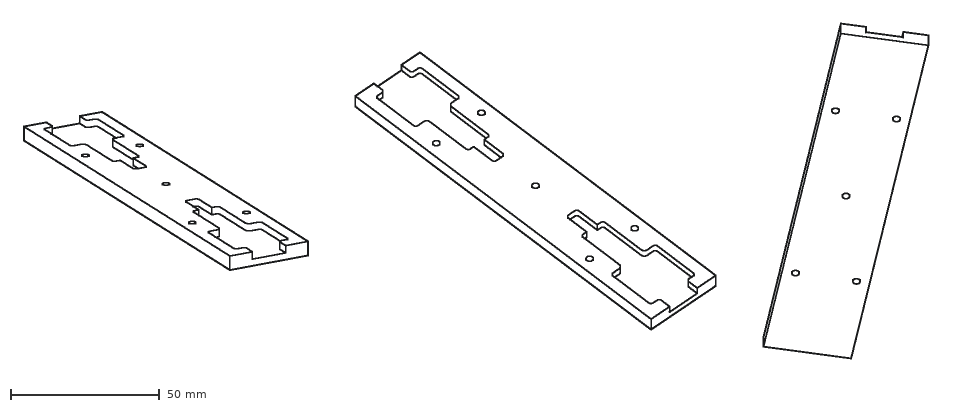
import cadquery as cq

length = 144.6
width = 30.0
thickness = 5.0

pocket_depth = 2.6
tongue_end = 17.6
neck_end = 27.6
body_end = 47.7
mouth_start = 67.2
tongue_half_width = 2.5
neck_half_width = 5.0
body_half_width = 10.3
mouth_half_width = 6.4
corner_radius = 1.0
shoulder_radius = 1.5

hole_diameter = 2.5
hole_offset_x = 37.5
hole_offset_y = 10.4


def make_plate():
    return cq.Workplane("XY").box(length, width, thickness)


def pocket_section(inner_x, outer_x, half_width):
    """Block centred on the X axis, reaching from the pocket floor to the top face."""
    return cq.Workplane("XY").box(
        outer_x - inner_x, 2 * half_width, pocket_depth, centered=(False, True, False)
    ).translate((inner_x, 0, thickness / 2 - pocket_depth))


def round_corners(body, corner_x, half_width, radius):
    """Round the mirrored pair of vertical edges at (corner_x, +/-half_width)."""
    for y in (-half_width, half_width):
        edge = cq.selectors.NearestToPointSelector((corner_x, y, thickness / 2 - pocket_depth / 2))
        body = body.edges("|Z").edges(edge).fillet(radius)
    return body


def make_pocket():
    """Pocket at the +X end, open through the end face."""
    pocket = (
        pocket_section(tongue_end, body_end, tongue_half_width)
        .union(pocket_section(neck_end, mouth_start, neck_half_width))
        .union(pocket_section(body_end, mouth_start, body_half_width))
        .union(pocket_section(body_end, length / 2, mouth_half_width))
    )
    rounded_corners = (
        (tongue_end, tongue_half_width, corner_radius),
        (neck_end, neck_half_width, corner_radius),
        (body_end, neck_half_width, shoulder_radius),
        (body_end, body_half_width, corner_radius),
        (mouth_start, body_half_width, corner_radius),
        (mouth_start, mouth_half_width, corner_radius),
    )
    for corner_x, half_width, radius in rounded_corners:
        pocket = round_corners(pocket, corner_x, half_width, radius)
    return pocket


def make_holes():
    corners = [(x, y) for x in (-hole_offset_x, hole_offset_x) for y in (-hole_offset_y, hole_offset_y)]
    return (
        cq.Workplane("XY")
        .pushPoints([(0, 0)] + corners)
        .circle(hole_diameter / 2)
        .extrude(thickness, both=True)
    )


pocket = make_pocket()
result = make_plate().cut(pocket).cut(pocket.mirror("YZ")).cut(make_holes())